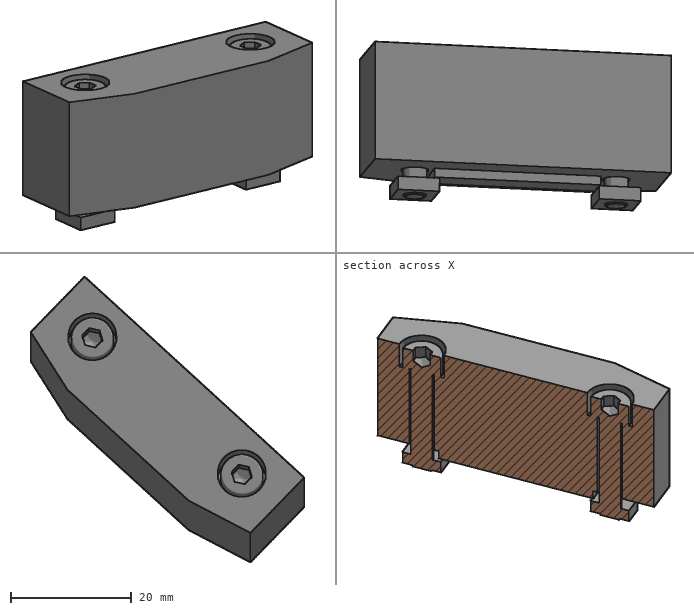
import cadquery as cq
import math

length = 50.0
width = 16.0
height = 20.0
corner_cut_x = 3.0
corner_cut_y = 11.2

rib_length = 28.0
rib_width = 4.5
rib_height = 1.5
rib_outer_x = 9.1

screw_x = 6.6
screw_end_distance = 8.0
counterbore_diameter = 8.0
clearance_diameter = 4.5
shank_diameter = 4.0
head_diameter = 7.0
head_height = 4.0
head_fillet = 0.4
head_recess = 0.6
socket_across_flats = 3.0
socket_depth = 2.0
socket_point_angle = 120.0
screw_projection = 4.5
screw_end_chamfer = 0.35
nut_size = 7.0
nut_thickness = 2.25
nut_gap = 2.0

head_top = height - head_recess
head_seat = head_top - head_height
screw_y = length / 2 - screw_end_distance


def make_block():
    """Block with two sloping corners and a rib below, its base at Z = 0."""
    half = length / 2
    block = (
        cq.Workplane("XY")
        .polyline([
            (0, -half),
            (width - corner_cut_x, -half),
            (width, -half + corner_cut_y),
            (width, half - corner_cut_y),
            (width - corner_cut_x, half),
            (0, half),
        ])
        .close()
        .extrude(height)
    )
    rib = (
        cq.Workplane("XY")
        .center(rib_outer_x - rib_width / 2, 0)
        .rect(rib_width, rib_length)
        .extrude(-rib_height)
    )
    return block.union(rib)


def make_screw_hole():
    """Through clearance hole with a counterbore, on the Z axis."""
    clearance = cq.Workplane("XY").circle(clearance_diameter / 2).extrude(height)
    counterbore = (
        cq.Workplane("XY", origin=(0, 0, head_seat))
        .circle(counterbore_diameter / 2)
        .extrude(height - head_seat)
    )
    return clearance.union(counterbore)


def make_socket():
    """Hexagonal socket ending in a conical drill point."""
    corner_radius = socket_across_flats / 2 / math.cos(math.radians(30))
    point_depth = corner_radius / math.tan(math.radians(socket_point_angle / 2))
    socket_floor = head_top - socket_depth
    point_tip = socket_floor - point_depth
    hexagon = (
        cq.Workplane("XY", origin=(0, 0, point_tip))
        .polygon(6, 2 * corner_radius)
        .extrude(head_top - point_tip)
    )
    envelope_radius = 2 * corner_radius
    envelope_cone_top = point_tip + 2 * point_depth
    pointed_envelope = (
        cq.Workplane("XZ")
        .polyline([
            (0, point_tip),
            (envelope_radius, envelope_cone_top),
            (envelope_radius, head_top),
            (0, head_top),
        ])
        .close()
        .revolve(360, (0, 0, 0), (0, 1, 0))
    )
    return hexagon.intersect(pointed_envelope)


def make_screw():
    """Socket head screw carrying its square nut, on the Z axis."""
    shank = (
        cq.Workplane("XY", origin=(0, 0, -screw_projection))
        .circle(shank_diameter / 2)
        .extrude(head_seat + screw_projection)
        .faces("<Z")
        .chamfer(screw_end_chamfer)
    )
    head = (
        cq.Workplane("XY", origin=(0, 0, head_seat))
        .circle(head_diameter / 2)
        .extrude(head_height)
        .faces(">Z")
        .edges()
        .fillet(head_fillet)
    )
    nut = (
        cq.Workplane("XY", origin=(0, 0, -nut_gap))
        .rect(nut_size, nut_size)
        .extrude(-nut_thickness)
    )
    return shank.union(head).union(nut).cut(make_socket())


result = make_block()
for y in (-screw_y, screw_y):
    position = (screw_x, y, 0)
    result = result.cut(make_screw_hole().translate(position))
    result = result.union(make_screw().translate(position))